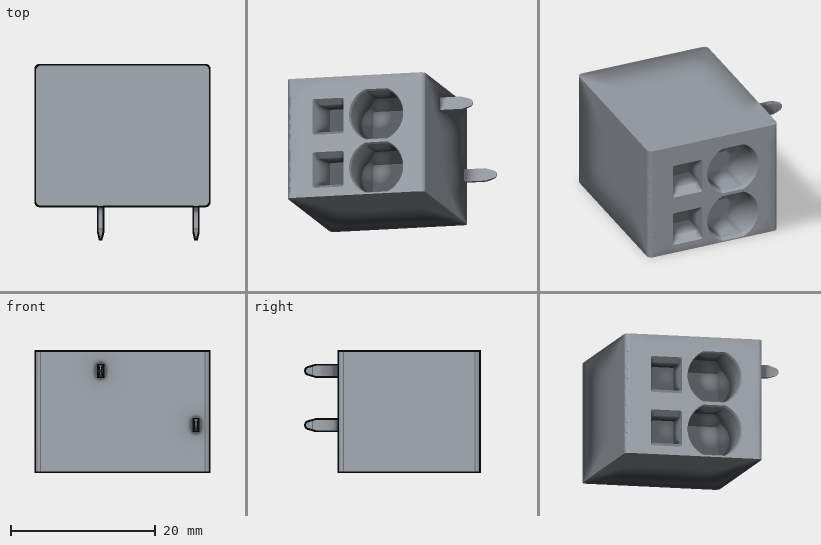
import cadquery as cq

housing_width = 24.15
housing_height = 16.8
total_depth = 24.2
pin_length = 4.57
housing_depth = total_depth - pin_length
corner_radius = 0.7

pole_pitch = 7.5
lower_pole_level = 3.75
pole_levels = (lower_pole_level, lower_pole_level + pole_pitch)

entry_y = 6.87
entry_radius = 3.7
entry_half_height = 3.36
entry_rim_growth = 0.17
entry_rim_depth = 0.53
funnel_start = 4.85
funnel_depth = 3.4
funnel_end_length = 5.18
funnel_end_height = 4.02
funnel_spread = 3.87
funnel_corner_radius = 0.35

release_near_y = 11.52
release_mouth_length = 4.43
release_end_length = 3.15
release_depth = 4.6
release_mouth_height = 5.03
release_neck_height = 3.73
release_neck_depth = 1.5
release_neck_radius = 0.97
release_corner_radius = 0.27

facet_inner_inset = 0.48
facet_outer_inset = 0.05
wide_facet_offset = 2.18
wide_facet_height = 1.6
narrow_facet_offsets = (0.22, -1.19, -2.57)
narrow_facet_height = 0.73

pin_width = 0.8
pin_height = 1.75
pin_root_depth = 0.97
lower_pin_level = 6.53
pin_positions = ((22.25, lower_pin_level), (9.05, lower_pin_level + pole_pitch))
pin_bevel_start = 3.05
pin_side_taper_start = 3.53
pin_nose_start = 4.1
pin_nose_height = 1.11
pin_tip_width = 0.3


def section(depth, near_y, length, level, height, radius):
    """Rounded rectangle parallel to the left side, at a depth below it."""
    return (
        cq.Workplane("YZ", origin=(depth, near_y + length / 2, level))
        .rect(length, height)
        .extrude(housing_width)
        .edges("|X")
        .fillet(radius)
        .faces("<X")
        .wires()
        .val()
    )


def make_housing():
    return (
        cq.Workplane("XY")
        .box(housing_width, housing_depth, housing_height, centered=False)
        .edges("|Z")
        .fillet(corner_radius)
    )


def flatted_round(level, start, end, growth=0):
    """Cylinder along X with top and bottom flats, enlarged by growth."""
    plane = cq.Workplane("YZ", origin=(start, entry_y, level))
    round_bar = plane.circle(entry_radius + growth).extrude(end - start)
    slab = plane.rect(housing_depth, 2 * (entry_half_height + growth)).extrude(end - start)
    return round_bar.intersect(slab)


def wire_entry(level):
    """Flared rim, straight bore and funnel of one wire entry."""
    funnel_end = funnel_start + funnel_depth
    rim_outer = flatted_round(level, 0, entry_rim_depth, entry_rim_growth).faces("<X").wires().val()
    rim_inner = flatted_round(level, 0, entry_rim_depth).faces(">X").wires().val()
    rim = cq.Workplane(cq.Solid.makeLoft([rim_outer, rim_inner], True))
    bore = flatted_round(level, 0, funnel_start)
    funnel_sections = [
        section(
            depth,
            entry_y - (funnel_end_length + spread) / 2,
            funnel_end_length + spread,
            level,
            funnel_end_height + spread,
            funnel_corner_radius,
        )
        for depth, spread in ((funnel_start, funnel_spread), (funnel_end, 0))
    ]
    funnel = cq.Workplane(cq.Solid.makeLoft(funnel_sections, True))
    funnel_limit = flatted_round(level, funnel_start, funnel_end)
    return rim.union(bore).union(funnel_limit.intersect(funnel))


def release_opening(level):
    """Necked profile crossed with a wedge, with rounded lengthwise edges."""
    half_mouth = release_mouth_height / 2
    half_neck = release_neck_height / 2
    necked = (
        cq.Workplane("XZ", origin=(0, release_near_y, level))
        .polyline(
            [
                (0, half_mouth),
                (release_neck_depth, half_neck),
                (release_depth, half_neck),
                (release_depth, -half_neck),
                (release_neck_depth, -half_neck),
                (0, -half_mouth),
            ]
        )
        .close()
        .extrude(-release_mouth_length)
        .edges("|Y and (not <X) and (not >X)")
        .fillet(release_neck_radius)
    )
    wedge = (
        cq.Workplane("XY", origin=(0, release_near_y, level - half_mouth))
        .polyline(
            [
                (0, 0),
                (0, release_mouth_length),
                (release_depth, release_end_length),
                (release_depth, 0),
            ]
        )
        .close()
        .extrude(release_mouth_height)
    )
    return necked.intersect(wedge).edges("not(|Y or |Z)").fillet(release_corner_radius)


def arc_inset(inset):
    """Distance of the rounded corner from the left side, at an inset from the rear."""
    return corner_radius - (corner_radius**2 - (corner_radius - inset) ** 2) ** 0.5


def corner_facet(center_z, height):
    """Wedge that trims the rounded rear left corner to a flat between two insets."""
    inner = (arc_inset(facet_inner_inset), housing_depth - facet_inner_inset)
    outer = (arc_inset(facet_outer_inset), housing_depth - facet_outer_inset)
    return (
        cq.Workplane("XY", origin=(0, 0, center_z - height / 2))
        .polyline([inner, outer, (0, housing_depth)])
        .close()
        .extrude(height)
    )


def pin(x, z):
    """Flat pin pointing to -Y: a bevelled, round-nosed side profile crossed with a tapered plan."""
    half_height = pin_height / 2
    half_nose = pin_nose_height / 2
    side_profile = (
        cq.Workplane("YZ", origin=(x - pin_width / 2, 0, z))
        .moveTo(pin_root_depth, half_height)
        .lineTo(-pin_bevel_start, half_height)
        .lineTo(-pin_nose_start, half_nose)
        .threePointArc((-pin_length, 0), (-pin_nose_start, -half_nose))
        .lineTo(-pin_bevel_start, -half_height)
        .lineTo(pin_root_depth, -half_height)
        .close()
        .extrude(pin_width)
    )
    plan_profile = (
        cq.Workplane("XY", origin=(x, 0, z - half_height))
        .polyline(
            [
                (-pin_width / 2, pin_root_depth),
                (-pin_width / 2, -pin_side_taper_start),
                (-pin_tip_width / 2, -pin_length),
                (pin_tip_width / 2, -pin_length),
                (pin_width / 2, -pin_side_taper_start),
                (pin_width / 2, pin_root_depth),
            ]
        )
        .close()
        .extrude(pin_height)
    )
    return side_profile.intersect(plan_profile)


result = make_housing()
for pole_level in pole_levels:
    result = result.cut(wire_entry(pole_level))
    result = result.cut(release_opening(pole_level))
    result = result.cut(corner_facet(pole_level + wide_facet_offset, wide_facet_height))
    for facet_offset in narrow_facet_offsets:
        result = result.cut(corner_facet(pole_level + facet_offset, narrow_facet_height))
for pin_x, pin_z in pin_positions:
    result = result.union(pin(pin_x, pin_z))